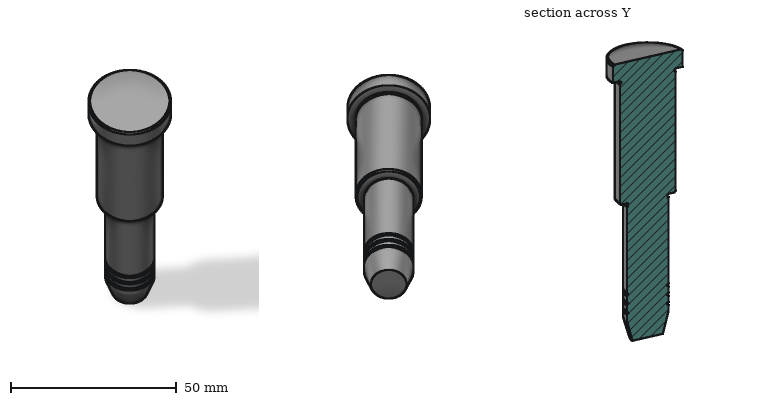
import cadquery as cq

total_length = 91.0

head_diameter = 25.0
head_radius = head_diameter / 2
head_height = 5.9
head_chamfer = 0.55

shank_radius = 10.0
shank_bottom_z = 44.95
shank_edge_chamfer = 0.55

pin_diameter = 15.0
pin_radius = pin_diameter / 2
pin_neck_depth = 0.5
pin_neck_height = 1.0

groove_depth = 0.55
groove_width = 1.0
groove_pitch = 3.0
groove_count = 3
lowest_groove_z = 9.5

taper_height = 7.0
tip_radius = 5.6
tip_edge_height = 0.55
tip_edge_inset = 0.3


def cylinder(radius, bottom_z, top_z):
    return cq.Workplane("XY").workplane(offset=bottom_z).circle(radius).extrude(top_z - bottom_z)


def make_head():
    head = cylinder(head_radius, total_length - head_height, total_length)
    return head.faces(">Z").chamfer(head_chamfer)


def make_groove(surface_radius, center_z):
    """Ring with a V section, to be cut from a cylindrical surface."""
    return (
        cq.Workplane("XZ")
        .moveTo(surface_radius, center_z - groove_width / 2)
        .lineTo(surface_radius - groove_depth, center_z)
        .lineTo(surface_radius, center_z + groove_width / 2)
        .close()
        .revolve(360, (0, 0), (0, 1))
    )


def make_shank():
    """Shank with a chamfered lower edge and a V groove against the head."""
    head_bottom_z = total_length - head_height
    shank = cylinder(shank_radius, shank_bottom_z, head_bottom_z)
    shank = shank.faces("<Z").chamfer(shank_edge_chamfer)
    return shank.cut(make_groove(shank_radius, head_bottom_z - groove_width / 2))


def make_pin():
    """Pin with a relief neck at the shank and a tapered tip."""
    pin_top_z = shank_bottom_z - pin_neck_height
    neck_radius = pin_radius - pin_neck_depth
    return (
        cq.Workplane("XZ")
        .lineTo(tip_radius - tip_edge_inset, 0)
        .lineTo(tip_radius, tip_edge_height)
        .lineTo(pin_radius, taper_height)
        .lineTo(pin_radius, pin_top_z)
        .lineTo(neck_radius, pin_top_z)
        .lineTo(neck_radius, shank_bottom_z)
        .lineTo(0, shank_bottom_z)
        .close()
        .revolve(360, (0, 0), (0, 1))
    )


pin = make_pin()
for index in range(groove_count):
    pin = pin.cut(make_groove(pin_radius, lowest_groove_z + index * groove_pitch))

result = make_head().union(make_shank()).union(pin)